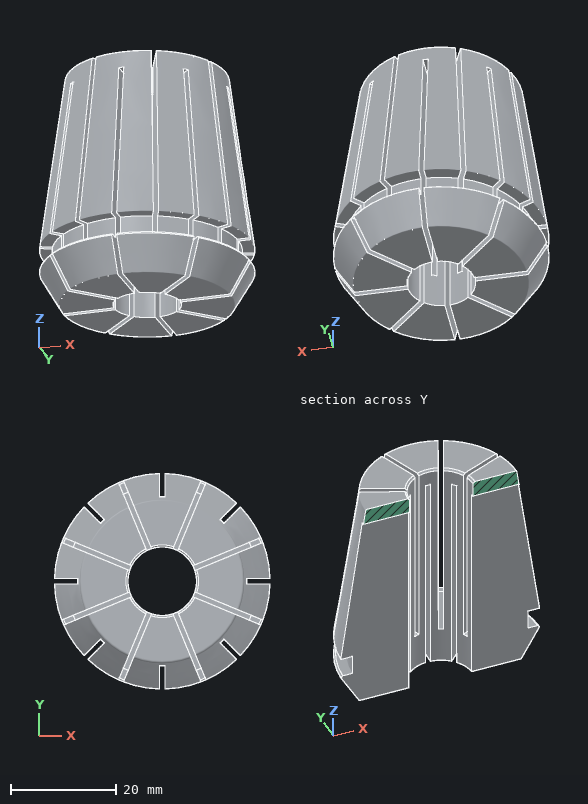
import cadquery as cq
import math

total_height = 46.0
max_radius = 20.5
bore_radius = 13.0 / 2

cone_base_z = 11.05
cone_half_angle = 8.0
cone_base_radius = 20.51
cone_top_radius = cone_base_radius - (total_height - cone_base_z) * math.tan(math.radians(cone_half_angle))
top_edge_round = 0.5
cone_base_round = 0.1
bore_chamfer = 0.4

groove_floor_z = 7.0
groove_radius = 18.1
collar_round = 0.2
collar_half_angle = 30.0
collar_edge_chamfer = 0.4
collar_widest_z = groove_floor_z - collar_edge_chamfer
collar_bottom_radius = max_radius - collar_widest_z * math.tan(math.radians(collar_half_angle))

slot_count = 8
slot_pitch = 360.0 / slot_count
slot_width = 1.0
bottom_slot_end_z = 42.5
top_slot_end_z = 7.5
slot_reach = max_radius + 1.0


def round_circle(body, edge_radius, edge_z, edge_round):
    """Round the circular edge of the given radius at the given height."""
    reach = edge_radius + edge_round / 2
    corner_box = cq.selectors.BoxSelector(
        (-reach, -reach, edge_z - edge_round / 2),
        (reach, reach, edge_z + edge_round / 2),
        boundingbox=True,
    )
    return body.edges(corner_box).edges(cq.selectors.RadiusNthSelector(-1)).fillet(edge_round)


def make_body():
    """Revolve the solid collet profile about Z and round its circular edges."""
    body = (
        cq.Workplane("XZ")
        .moveTo(0, 0)
        .lineTo(collar_bottom_radius, 0)
        .lineTo(max_radius, collar_widest_z)
        .lineTo(max_radius - collar_edge_chamfer, groove_floor_z)
        .lineTo(groove_radius, groove_floor_z)
        .lineTo(groove_radius, cone_base_z)
        .lineTo(cone_base_radius, cone_base_z)
        .lineTo(cone_top_radius, total_height)
        .lineTo(0, total_height)
        .close()
        .revolve(360, (0, 0, 0), (0, 1, 0))
    )
    body = body.faces(">Z").edges().fillet(top_edge_round)
    body = round_circle(body, collar_bottom_radius, 0, collar_round)
    body = round_circle(body, groove_radius, groove_floor_z, collar_round)
    return round_circle(body, cone_base_radius, cone_base_z, cone_base_round)


def cut_bore(body):
    """Cut the through bore and chamfer its upper mouth."""
    bored = body.cut(cq.Workplane("XY").circle(bore_radius).extrude(total_height))
    mouth = cq.Workplane("XY", origin=(0, 0, total_height)).circle(bore_radius + bore_chamfer)
    mouth = mouth.workplane(offset=-bore_chamfer).circle(bore_radius).loft(ruled=True)
    return bored.cut(mouth)


def make_slots(first_angle, low_z, high_z):
    """Return a ring of radial slot blades that run from the axis outwards."""
    blade = cq.Workplane("XY", origin=(0, 0, low_z)).box(
        slot_reach, slot_width, high_z - low_z, centered=(False, True, False)
    )
    blades = cq.Workplane("XY")
    for index in range(slot_count):
        blades = blades.add(blade.rotate((0, 0, 0), (0, 0, 1), first_angle + index * slot_pitch))
    return blades.combine()


bottom_slots = make_slots(0, 0, bottom_slot_end_z)
top_slots = make_slots(slot_pitch / 2, top_slot_end_z, total_height)

result = cut_bore(make_body()).cut(bottom_slots).cut(top_slots)